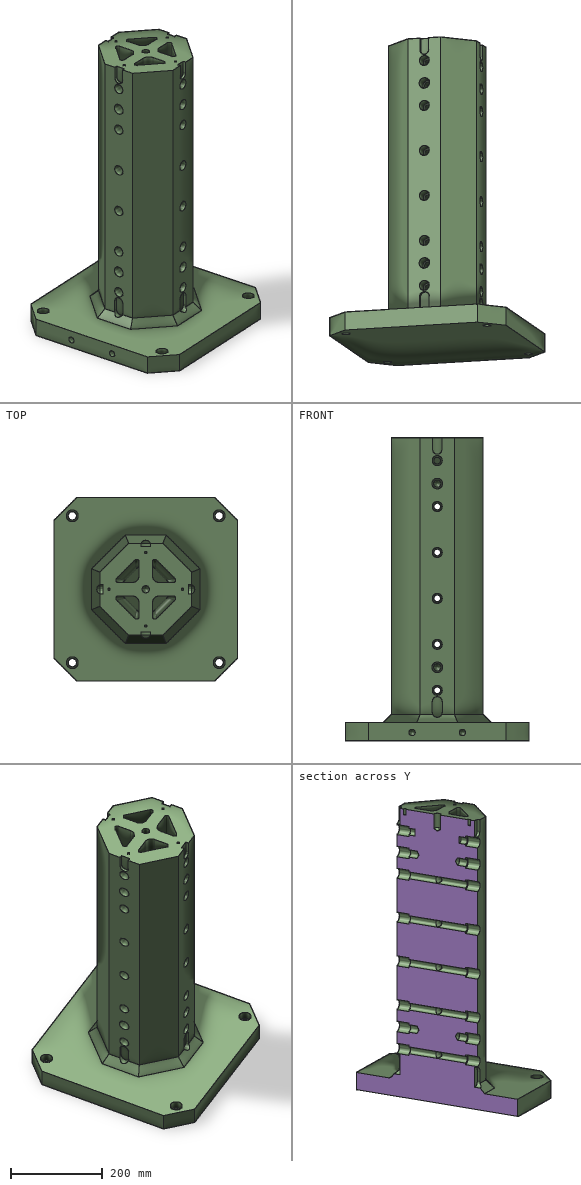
import cadquery as cq
import math

HEIGHT = 660.0

PLATE_SIDE = 400.0
PLATE_THICKNESS = 40.0
PLATE_CORNER = 50.0
PLATE_HOLE_SPACING = 319.5
PLATE_HOLE_DIAMETER = 18.0
PLATE_BORE_DIAMETER = 26.0
PLATE_BORE_DEPTH = 18.0
SIDE_HOLE_DIAMETER = 14.0
SIDE_HOLE_HEIGHT = 18.5
SIDE_HOLE_DEPTH = 30.0
SIDE_HOLE_SPACING = 109.5

COLUMN_WIDTH = 200.0
COLUMN_CORNER = 63.0
FLARE = 18.0
FLARE_CORNER = 73.0

TAPPED_COUNT = 6
TAPPED_LOWEST = 110.0
TAPPED_HIGHEST = 610.0
TAPPED_DIAMETER = 14.5
TAPPED_BORE_DIAMETER = 22.0
TAPPED_BORE_DEPTH = 30.0
TOP_TAPPED_DEPTH = 45.0
DOWEL_DIAMETER = 16.0
DOWEL_BORE_DIAMETER = 23.0
DOWEL_BORE_DEPTH = 30.0
DOWEL_DEPTH = 49.5
DRILL_POINT_ANGLE = 118.0

SLOT_DEPTH = 6.5
TOP_SLOT_WIDTH = 20.0
TOP_SLOT_LENGTH = 36.0
LOW_SLOT_WIDTH = 22.0
LOW_SLOT_BOTTOM = 51.5
LOW_SLOT_TOP = 96.5

CENTER_HOLE_DIAMETER = 16.0
CENTER_HOLE_DEPTH = 33.0
PIN_HOLE_DIAMETER = 5.0
PIN_HOLE_DEPTH = 13.0
PIN_HOLE_RADIUS = 80.0

RIB_WIDTH = 29.0
POCKET_REACH = 87.0
POCKET_INNER_RADIUS = 15.0
POCKET_TIP_RADIUS = 5.0
POCKET_FLOOR_RADIUS = 16.0
POCKET_FLOOR = PLATE_THICKNESS

column_half = COLUMN_WIDTH / 2
tapped_pitch = (TAPPED_HIGHEST - TAPPED_LOWEST) / (TAPPED_COUNT - 1)
dowel_heights = [TAPPED_LOWEST + tapped_pitch / 2, TAPPED_HIGHEST - tapped_pitch / 2]


def octagon(side, corner):
    """Outline points of a square with its corners cut off."""
    half = side / 2
    flat = half - corner
    return [
        (half, -flat), (half, flat), (flat, half), (-flat, half),
        (-half, flat), (-half, -flat), (-flat, -half), (flat, -half),
    ]


def octagon_prism(side, corner, height):
    """Octagonal prism standing on Z = 0."""
    return cq.Workplane("XY").polyline(octagon(side, corner)).close().extrude(height)


def drilled_hole(diameter, depth):
    """Drill shape going down from the origin, ending in a conical point."""
    radius = diameter / 2
    point = radius / math.tan(math.radians(DRILL_POINT_ANGLE / 2))
    return (
        cq.Workplane("XZ")
        .polyline([(0, 0), (radius, 0), (radius, -depth), (0, -depth - point)])
        .close()
        .revolve(360, (0, 0, 0), (0, 1, 0))
    )


def into_front(shape, x, y, z):
    """Turn a tool that points down so that it points along +Y from (x, y, z)."""
    return shape.rotate((0, 0, 0), (1, 0, 0), 90).translate((x, y, z))


def front_rod(diameter, length, z):
    """Cylinder entering the front column face at height z."""
    return cq.Workplane("XZ", origin=(0, -column_half, z)).circle(diameter / 2).extrude(-length)


def make_body():
    """Base plate, octagonal column and the sloping flare between them."""
    plate = octagon_prism(PLATE_SIDE, PLATE_CORNER, PLATE_THICKNESS)
    column = octagon_prism(COLUMN_WIDTH, COLUMN_CORNER, HEIGHT)
    flare = (
        cq.Workplane("XY", origin=(0, 0, PLATE_THICKNESS))
        .polyline(octagon(COLUMN_WIDTH + 2 * FLARE, FLARE_CORNER)).close()
        .workplane(offset=FLARE)
        .polyline(octagon(COLUMN_WIDTH, COLUMN_CORNER)).close()
        .loft(ruled=True)
    )
    return plate.union(column).union(flare)


def plate_corner_hole():
    """Counterbored through hole in one plate corner."""
    place = PLATE_HOLE_SPACING / 2
    hole = cq.Workplane("XY").circle(PLATE_HOLE_DIAMETER / 2).extrude(PLATE_THICKNESS)
    bore_floor = PLATE_THICKNESS - PLATE_BORE_DEPTH
    bore = (
        cq.Workplane("XY", origin=(0, 0, bore_floor))
        .circle(PLATE_BORE_DIAMETER / 2).extrude(PLATE_BORE_DEPTH)
    )
    return hole.union(bore).translate((place, place, 0))


def column_face_holes():
    """Tapped and dowel holes in the front column face.

    The tapped holes meet at the column axis, except the top one, which is blind.
    """
    tools = []
    for index in range(TAPPED_COUNT):
        z = TAPPED_LOWEST + index * tapped_pitch
        is_top = index == TAPPED_COUNT - 1
        depth = TOP_TAPPED_DEPTH if is_top else column_half
        tools.append(front_rod(TAPPED_DIAMETER, depth, z))
        tools.append(front_rod(TAPPED_BORE_DIAMETER, TAPPED_BORE_DEPTH, z))
    for z in dowel_heights:
        drill = drilled_hole(DOWEL_DIAMETER, DOWEL_DEPTH)
        tools.append(into_front(drill, 0, -column_half, z))
        tools.append(front_rod(DOWEL_BORE_DIAMETER, DOWEL_BORE_DEPTH, z))
    return tools


def slot(width, bottom, top):
    """Round-ended upright slot in the front column face, open outwards."""
    length = top - bottom
    return (
        cq.Workplane("XZ", origin=(0, SLOT_DEPTH - column_half, (bottom + top) / 2))
        .slot2D(length, width, 90)
        .extrude(SLOT_DEPTH + FLARE)
    )


def nearest_edge(x, y, z):
    """Selector for the edge whose middle is closest to a point."""
    return cq.selectors.NearestToPointSelector((x, y, z))


def triangle_prism(reach):
    """Right-angled prism above the pocket floor, its sloping side on x + y = reach."""
    near = RIB_WIDTH / 2
    far = reach - near
    return (
        cq.Workplane("XY", origin=(0, 0, POCKET_FLOOR))
        .polyline([(near, near), (far, near), (near, far)]).close()
        .extrude(HEIGHT - POCKET_FLOOR)
    )


def pocket():
    """Rounded triangular pocket in the +X +Y quarter, its outer floor edge rounded."""
    near = RIB_WIDTH / 2
    far = POCKET_REACH - near
    middle = POCKET_REACH / 2
    mid_height = (POCKET_FLOOR + HEIGHT) / 2
    outer_floor_edge = nearest_edge(middle, middle, POCKET_FLOOR)
    inner_edge = nearest_edge(near, near, mid_height)
    tip_edges = nearest_edge(far, near, mid_height) + nearest_edge(near, far, mid_height)
    rounded = (
        triangle_prism(POCKET_REACH)
        .edges(outer_floor_edge).fillet(POCKET_FLOOR_RADIUS)
        .edges(inner_edge).fillet(POCKET_INNER_RADIUS)
        .edges(tip_edges).fillet(POCKET_TIP_RADIUS)
    )
    flat_floor_reach = POCKET_REACH - POCKET_FLOOR_RADIUS * math.sqrt(2)
    square_floor = triangle_prism(flat_floor_reach).edges(inner_edge).fillet(POCKET_INNER_RADIUS)
    return rounded.union(square_floor)


def pin_hole():
    """Small blind hole in the top face, near the front column face."""
    top = cq.Workplane("XY", origin=(0, -PIN_HOLE_RADIUS, HEIGHT))
    return top.circle(PIN_HOLE_DIAMETER / 2).extrude(-PIN_HOLE_DEPTH)


result = make_body()

repeated_cuts = [
    plate_corner_hole(),
    pocket(),
    pin_hole(),
    slot(TOP_SLOT_WIDTH, HEIGHT - TOP_SLOT_LENGTH, HEIGHT + TOP_SLOT_WIDTH),
    slot(LOW_SLOT_WIDTH, LOW_SLOT_BOTTOM, LOW_SLOT_TOP),
]
repeated_cuts += column_face_holes()
for cut in repeated_cuts:
    for turn in range(4):
        result = result.cut(cut.rotate((0, 0, 0), (0, 0, 1), 90 * turn))

center_hole = drilled_hole(CENTER_HOLE_DIAMETER, CENTER_HOLE_DEPTH)
result = result.cut(center_hole.translate((0, 0, HEIGHT)))

for x in (-SIDE_HOLE_SPACING / 2, SIDE_HOLE_SPACING / 2):
    side_hole = drilled_hole(SIDE_HOLE_DIAMETER, SIDE_HOLE_DEPTH)
    result = result.cut(into_front(side_hole, x, -PLATE_SIDE / 2, SIDE_HOLE_HEIGHT))